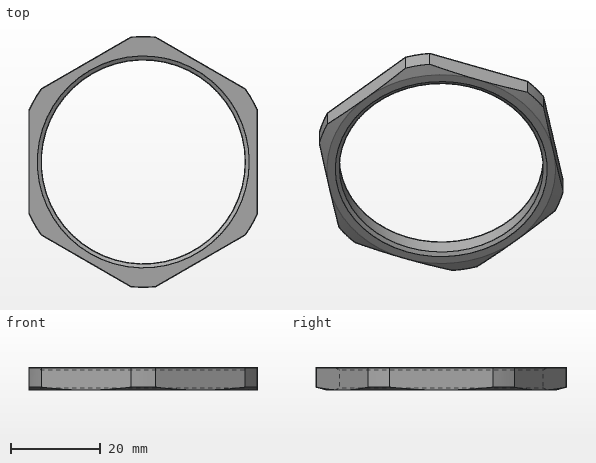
import cadquery as cq
import math

across_flats = 51.0
corner_diameter = 56.0
height = 5.0
bore_diameter = 45.5
countersink_diameter = 47.3
countersink_angle = 30.0
bottom_face_diameter = across_flats
bevel_angle = 15.0

corner_radius = corner_diameter / 2
bore_radius = bore_diameter / 2
countersink_radius = countersink_diameter / 2
countersink_depth = (countersink_radius - bore_radius) * math.tan(math.radians(countersink_angle))
bottom_face_radius = bottom_face_diameter / 2
bevel_height = (corner_radius - bottom_face_radius) * math.tan(math.radians(bevel_angle))


def hexagon_body():
    """Hexagonal prism with two corners on the Y axis."""
    across_corners = across_flats / math.cos(math.pi / 6)
    return (
        cq.Workplane("XY")
        .transformed(rotate=(0, 0, 90))
        .polygon(6, across_corners)
        .extrude(height)
    )


def turned_envelope():
    """Ring of revolution: rounded corners, bottom bevel and bore countersunk at both ends."""
    profile = [
        (bore_radius, countersink_depth),
        (countersink_radius, 0),
        (bottom_face_radius, 0),
        (corner_radius, bevel_height),
        (corner_radius, height),
        (countersink_radius, height),
        (bore_radius, height - countersink_depth),
    ]
    return cq.Workplane("XZ").polyline(profile).close().revolve(360, (0, 0), (0, 1))


result = hexagon_body().intersect(turned_envelope())